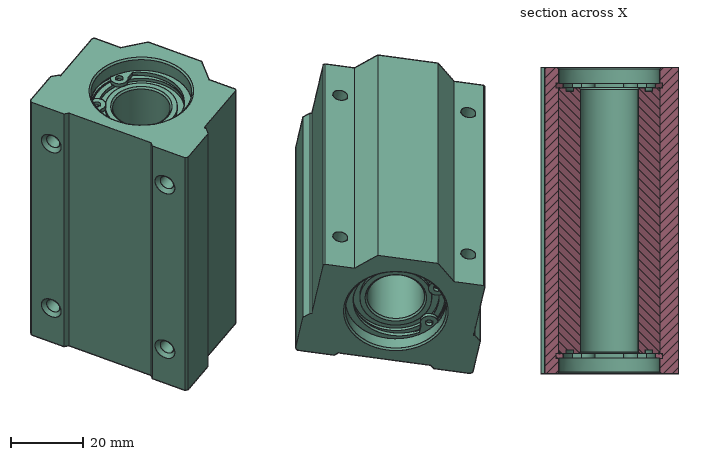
import cadquery as cq


length = 85.0
height = 38.2
base_half_width = 25.0
body_half_width = 22.8
axis_height = 18.95
flange_height = 13.9
flange_bevel = 1.8
shoulder_drop = 5.8
crown_half_width = 8.5
crown_foot_half_width = 14.0
corner_chamfer = 0.7
shoulder_chamfer = 0.4
channel_half_width = 14.0
channel_depth = 1.0

bore_diameter = 28.0
bore_mouth_diameter = 29.0
bore_chamfer = (bore_mouth_diameter - bore_diameter) / 2

hole_spacing_x = 36.0
hole_spacing_z = 60.0
hole_diameter = 4.2
hole_mouth_diameter = 6.3
hole_mouth_depth = (hole_mouth_diameter - hole_diameter) / 2

ring_depth = 4.4
ring_thickness = 1.2
ring_diameter = 29.5
ring_inner_radius = 12.75
ring_inner_offset = 0.9
lug_x = -10.5
lug_y = 6.4
lug_radius = 2.5
lug_flank_x = -8.5
lug_hole_diameter = 2.0

bush_length = length - 2 * (ring_depth + ring_thickness)
bush_bore_diameter = 16.0
bush_bore_chamfer = 0.5
bush_edge_chamfer = 0.4
seal_outer_diameter = 24.0
seal_inner_diameter = 20.0
seal_recess_depth = 1.0

mounting_y = -axis_height
crown_y = mounting_y + height
shoulder_y = crown_y - shoulder_drop
flange_y = mounting_y + flange_height
ring_bottom_z = length / 2 - ring_depth - ring_thickness
ring_levels = (ring_bottom_z, -ring_bottom_z - ring_thickness)


def cylinder(diameter, bottom_z, tall):
    return cq.Workplane("XY").workplane(offset=bottom_z).circle(diameter / 2).extrude(tall)


def housing_block():
    right_side = [
        (channel_half_width - channel_depth, mounting_y + channel_depth),
        (channel_half_width, mounting_y),
        (base_half_width - corner_chamfer, mounting_y),
        (base_half_width, mounting_y + corner_chamfer),
        (base_half_width, flange_y - flange_bevel),
        (base_half_width - flange_bevel, flange_y),
        (body_half_width, flange_y),
        (body_half_width, shoulder_y - shoulder_chamfer),
        (body_half_width - shoulder_chamfer, shoulder_y),
        (crown_foot_half_width, shoulder_y),
        (crown_half_width, crown_y),
    ]
    left_side = [(-x, y) for x, y in reversed(right_side)]
    outline = cq.Workplane("XY").workplane(offset=-length / 2).polyline(right_side + left_side)
    return outline.close().extrude(length)


def bore_cutter():
    """Chamfered bore: a revolved half-section with both mouths widened."""
    half_length = length / 2
    radius = bore_diameter / 2
    section = [
        (0, -half_length),
        (radius + bore_chamfer, -half_length),
        (radius, -half_length + bore_chamfer),
        (radius, half_length - bore_chamfer),
        (radius + bore_chamfer, half_length),
        (0, half_length),
    ]
    return cq.Workplane("XZ").polyline(section).close().revolve(360, (0, 0), (0, 1))


def mounting_hole_cutter(x, z):
    """Through hole along Y with a conical mouth on the mounting face."""
    section = [
        (0, mounting_y),
        (hole_mouth_diameter / 2, mounting_y),
        (hole_diameter / 2, mounting_y + hole_mouth_depth),
        (hole_diameter / 2, crown_y),
        (0, crown_y),
    ]
    cutter = cq.Workplane("XY").polyline(section).close().revolve(360, (0, 0), (0, 1))
    return cutter.translate((x, 0, z))


def make_housing():
    body = housing_block().cut(bore_cutter())
    for z in ring_levels:
        body = body.cut(cylinder(ring_diameter, z, ring_thickness))
    for x in (-hole_spacing_x / 2, hole_spacing_x / 2):
        for z in (-hole_spacing_z / 2, hole_spacing_z / 2):
            body = body.cut(mounting_hole_cutter(x, z))
    return body


def make_bush():
    body = cylinder(bore_diameter, -bush_length / 2, bush_length)
    body = body.edges().chamfer(bush_edge_chamfer)
    body = body.cut(cylinder(bush_bore_diameter, -bush_length / 2, bush_length))
    bore_edges = cq.selectors.RadiusNthSelector(0)
    body = body.faces("<Z or >Z").edges(bore_edges).chamfer(bush_bore_chamfer)
    for z in (-bush_length / 2, bush_length / 2 - seal_recess_depth):
        recess = cylinder(seal_outer_diameter, z, seal_recess_depth)
        body = body.cut(recess.cut(cylinder(seal_inner_diameter, z, seal_recess_depth)))
    return body


def make_ring(bottom_z):
    """Internal retaining ring, open at -X between two drilled round lugs."""
    disc = cylinder(ring_diameter, bottom_z, ring_thickness)
    plane = cq.Workplane("XY").workplane(offset=bottom_z)
    opening = plane.center(-ring_inner_offset, 0).circle(ring_inner_radius).extrude(ring_thickness)
    gap = plane.center(-ring_diameter / 2, 0).rect(ring_diameter / 2, 2 * lug_y).extrude(ring_thickness)
    body = disc.cut(opening).cut(gap)
    lug_centers = [(lug_x, -lug_y), (lug_x, lug_y)]
    lugs = plane.pushPoints(lug_centers).circle(lug_radius).extrude(ring_thickness)
    for side in (-1, 1):
        center_y = side * (lug_y + lug_radius)
        flank_width = 2 * (lug_flank_x - lug_x)
        flank = plane.center(lug_x, center_y).rect(flank_width, 2 * lug_radius)
        lugs = lugs.union(flank.extrude(ring_thickness))
    body = body.union(lugs.intersect(disc))
    holes = plane.pushPoints(lug_centers).circle(lug_hole_diameter / 2).extrude(ring_thickness)
    return body.cut(holes)


housing = make_housing()
bush = make_bush()
rings = [make_ring(z) for z in ring_levels]

result = cq.Compound.makeCompound([housing.val(), bush.val(), *[ring.val() for ring in rings]])